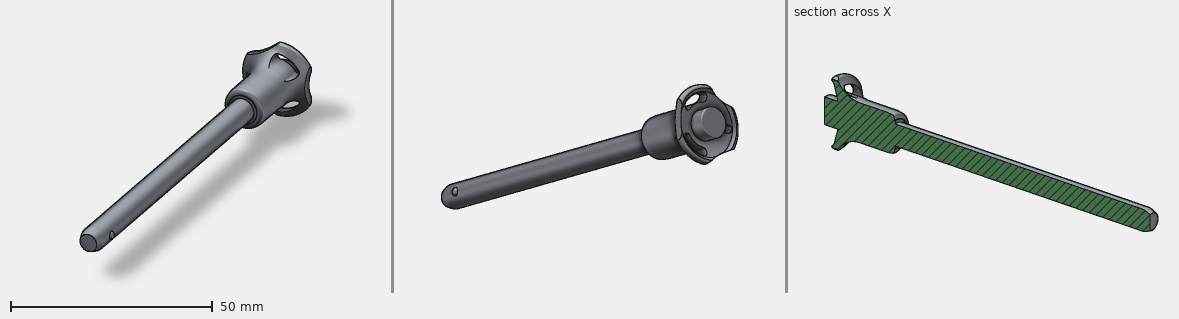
import cadquery as cq
import math


total_length = 103.63
shaft_length = 81.0
handle_length = total_length - shaft_length

shaft_radius = 3.175
tip_length = 2.3
tip_radius = 2.35
tip_bulge = 0.1

ball_radius = 1.15
ball_reach = 3.8
ball_from_tip = 6.3

button_radius = 3.95
button_height = 2.3
button_edge_round = 0.4

barrel_radius = 5.6
collar_radius = 3.95
collar_height = 0.25
nose_radius = 4.5
nose_round_length = 0.75
taper_length = 1.5
taper_end_radius = 5.4
nose_bulge = 0.15

flange_radius = 10.16
rim_radius = 1.06
flare_length = 9.05
recess_edge_depth = 0.7
recess_edge_radius = 8.3
recess_center_depth = 3.0

lobe_count = 3
lobe_spacing = 360 / lobe_count
scallop_depth_radius = 8.2
scallop_radius = 27.0
opening_circle_radius = 6.95
opening_width = 2.3
slot_half_angle = 24
slot_angles = (lobe_spacing / 2, -lobe_spacing / 2)

flange_back = handle_length - button_height
rim_center = (flange_radius - rim_radius, flange_back - rim_radius)
barrel_top = flange_back - flare_length


def polar(center, radius, angle):
    return (center[0] + radius * math.cos(angle), center[1] + radius * math.sin(angle))


def revolve_about_y(profile):
    return profile.close().revolve(360, (0, 0, 0), (0, 1, 0))


def make_handle():
    inset = rim_center[0] - barrel_radius
    drop = rim_center[1] - barrel_top
    flare_radius = (inset**2 + drop**2 - rim_radius**2) / (2 * (inset + rim_radius))
    flare_center = (barrel_radius + flare_radius, barrel_top)
    rim_front_angle = math.atan2(flare_center[1] - rim_center[1], flare_center[0] - rim_center[0])
    flare_join_angle = rim_front_angle + math.pi
    flare_start_angle = math.pi
    rim_back_angle = math.pi / 2

    nose_y = collar_height
    taper_end_y = nose_y + nose_round_length
    nose_mid = (
        (nose_radius + taper_end_radius) / 2 + nose_bulge,
        (nose_y + taper_end_y) / 2 - nose_bulge,
    )
    profile = (
        cq.Workplane("XY")
        .moveTo(0, 0)
        .lineTo(collar_radius, 0)
        .lineTo(collar_radius, nose_y)
        .lineTo(nose_radius, nose_y)
        .threePointArc(nose_mid, (taper_end_radius, taper_end_y))
        .lineTo(barrel_radius, taper_end_y + taper_length)
        .lineTo(barrel_radius, barrel_top)
        .threePointArc(
            polar(flare_center, flare_radius, (flare_start_angle + flare_join_angle) / 2),
            polar(rim_center, rim_radius, rim_front_angle),
        )
        .threePointArc(
            polar(rim_center, rim_radius, 0),
            polar(rim_center, rim_radius, rim_back_angle),
        )
        .lineTo(recess_edge_radius, flange_back - recess_edge_depth)
        .lineTo(0, flange_back - recess_center_depth)
    )
    return revolve_about_y(profile)


def cut_tool(sketch):
    """Extrude a sketch on the plane facing -Y through the whole handle."""
    return sketch.extrude(-handle_length)


def facing_plane():
    return cq.Workplane("XZ")


def turned(shape, angle):
    """Turn a shape about the pin axis, from +X toward +Z."""
    return shape.rotate((0, 0, 0), (0, 1, 0), -angle)


def make_scallop():
    center_x = scallop_depth_radius + scallop_radius
    return cut_tool(facing_plane().center(center_x, 0).circle(scallop_radius))


def make_slot():
    inner = opening_circle_radius - opening_width / 2
    outer = opening_circle_radius + opening_width / 2
    half = math.radians(slot_half_angle)
    axis = (0, 0)
    end_center = polar(axis, opening_circle_radius, half)
    start_center = polar(axis, opening_circle_radius, -half)
    sketch = (
        facing_plane()
        .moveTo(*polar(axis, outer, -half))
        .threePointArc((outer, 0), polar(axis, outer, half))
        .threePointArc(
            polar(end_center, opening_width / 2, half + math.pi / 2),
            polar(axis, inner, half),
        )
        .threePointArc((inner, 0), polar(axis, inner, -half))
        .threePointArc(
            polar(start_center, opening_width / 2, -half - math.pi / 2),
            polar(axis, outer, -half),
        )
        .close()
    )
    return cut_tool(sketch)


def make_lanyard_hole():
    return cut_tool(facing_plane().center(-opening_circle_radius, 0).circle(opening_width / 2))


def make_shaft():
    tip_y = -shaft_length
    shoulder_y = tip_y + tip_length
    tip_mid = ((shaft_radius + tip_radius) / 2 + tip_bulge, (tip_y + shoulder_y) / 2)
    profile = (
        cq.Workplane("XY")
        .moveTo(0, tip_y)
        .lineTo(tip_radius, tip_y)
        .threePointArc(tip_mid, (shaft_radius, shoulder_y))
        .lineTo(shaft_radius, barrel_top)
        .lineTo(0, barrel_top)
    )
    return revolve_about_y(profile)


def make_ball(side):
    x = side * (ball_reach - ball_radius)
    return cq.Workplane("XY").sphere(ball_radius).translate((x, ball_from_tip - shaft_length, 0))


def make_button():
    base_y = flange_back - recess_center_depth
    height = handle_length - base_y
    button = cq.Workplane("XZ").circle(button_radius).extrude(-height)
    return button.faces(">Y").edges().fillet(button_edge_round).translate((0, base_y, 0))


handle = make_handle()
for lobe in range(lobe_count):
    handle = handle.cut(turned(make_scallop(), lobe * lobe_spacing))
for angle in slot_angles:
    handle = handle.cut(turned(make_slot(), angle))
handle = handle.cut(make_lanyard_hole())

result = handle.union(make_shaft()).union(make_button())
for side in (-1, 1):
    result = result.union(make_ball(side))